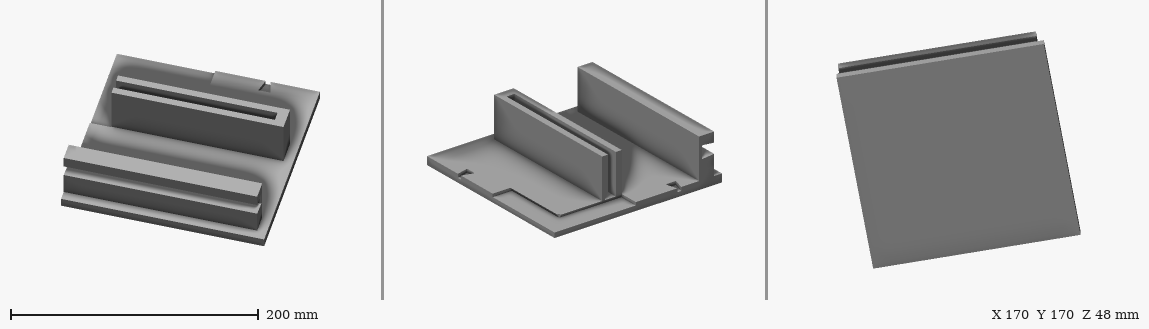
import cadquery as cq

SIDE = 170.0
BASE_THICKNESS = 8.0
TOTAL_HEIGHT = 48.0

RECESS_WIDTH = 18.0
RECESS_LENGTH = 82.5
RECESS_DEPTH = 3.0
RECESS_UNDERCUT = 1.5
RELIEF_DIAMETER = 5.0

BAR_END_GAP = 8.0
BAR_END = SIDE - BAR_END_GAP

HOLDER_FRONT = 88.0
HOLDER_WIDTH = 19.9
HOLDER_FRONT_WALL = 6.0
SLOT_WIDTH = 8.0
SLOT_END = 153.2
FLARE_WIDTH = 3.5
FLARE_HEIGHT = 6.3

RAIL_FRONT = 8.0
RAIL_WIDTH = 15.3
GROOVE_DEPTH = 12.4
GROOVE_CENTER_Z = 33.0
GROOVE_MOUTH = 10.0
GROOVE_BACK = 12.0
GROOVE_FLAT = 2.0

NOTCH_OFFSET = 43.4
NOTCH_LENGTH = 11.5
NOTCH_DEPTH = 3.5
NOTCH_OUTER_WIDTH = 4.0
NOTCH_INNER_WIDTH = 10.2


def block(x_range, y_range, z_range):
    """Box between the given (low, high) limits on each axis."""
    sizes = [high - low for low, high in (x_range, y_range, z_range)]
    corner = (x_range[0], y_range[0], z_range[0])
    return cq.Workplane("XY").box(*sizes, centered=False).translate(corner)


def bar_along_x(outline, x_start, x_end):
    """Extrude a closed (y, z) outline between two X positions."""
    profile = cq.Workplane("YZ").workplane(offset=x_start).polyline(outline).close()
    return profile.extrude(x_end - x_start)


def corner_recess():
    """Cutter for the stepped corner at -X, +Y; its walls lean under the plate top."""
    floor_z = BASE_THICKNESS - RECESS_DEPTH
    wall_x = RECESS_WIDTH
    wall_y = SIDE - RECESS_WIDTH

    left_arm = (
        cq.Workplane("XZ", origin=(0, SIDE, 0))
        .polyline([
            (0, floor_z),
            (wall_x + RECESS_UNDERCUT, floor_z),
            (wall_x, BASE_THICKNESS),
            (0, BASE_THICKNESS),
        ])
        .close()
        .extrude(RECESS_LENGTH)
    )
    back_arm = bar_along_x(
        [
            (SIDE, floor_z),
            (wall_y - RECESS_UNDERCUT, floor_z),
            (wall_y, BASE_THICKNESS),
            (SIDE, BASE_THICKNESS),
        ],
        0,
        RECESS_LENGTH,
    )
    relief = (
        cq.Workplane("XY", origin=(wall_x, wall_y, floor_z))
        .circle(RELIEF_DIAMETER / 2)
        .extrude(RECESS_DEPTH)
    )
    return left_arm.union(back_arm).union(relief)


def holder():
    """Upright with a slot open at the top and at -X, flared at the foot of its +Y wall."""
    back = HOLDER_FRONT + HOLDER_WIDTH
    slot_front = HOLDER_FRONT + HOLDER_FRONT_WALL
    slot_back = slot_front + SLOT_WIDTH
    body = block((RECESS_WIDTH, BAR_END), (HOLDER_FRONT, back), (BASE_THICKNESS, TOTAL_HEIGHT))
    slot = bar_along_x(
        [
            (slot_front, BASE_THICKNESS),
            (slot_back + FLARE_WIDTH, BASE_THICKNESS),
            (slot_back, BASE_THICKNESS + FLARE_HEIGHT),
            (slot_back, TOTAL_HEIGHT),
            (slot_front, TOTAL_HEIGHT),
        ],
        RECESS_WIDTH,
        SLOT_END,
    )
    return body.cut(slot)


def rail():
    """Upright with a groove in its -Y face that widens inward, then runs flat to its back wall."""
    groove_back = RAIL_FRONT + GROOVE_DEPTH
    flat_start = groove_back - GROOVE_FLAT
    body = block((0, BAR_END), (RAIL_FRONT, RAIL_FRONT + RAIL_WIDTH), (BASE_THICKNESS, TOTAL_HEIGHT))
    lower_edge = [
        (RAIL_FRONT, GROOVE_CENTER_Z - GROOVE_MOUTH / 2),
        (flat_start, GROOVE_CENTER_Z - GROOVE_BACK / 2),
        (groove_back, GROOVE_CENTER_Z - GROOVE_BACK / 2),
    ]
    upper_edge = [(y, 2 * GROOVE_CENTER_Z - z) for y, z in reversed(lower_edge)]
    groove = bar_along_x(lower_edge + upper_edge, 0, BAR_END)
    return body.cut(groove)


def edge_notch():
    """Cutter at the origin, opening toward -X and widening inward."""
    return (
        cq.Workplane("XY", origin=(0, 0, BASE_THICKNESS - NOTCH_DEPTH))
        .polyline([
            (0, -NOTCH_OUTER_WIDTH / 2),
            (NOTCH_LENGTH, -NOTCH_INNER_WIDTH / 2),
            (NOTCH_LENGTH, NOTCH_INNER_WIDTH / 2),
            (0, NOTCH_OUTER_WIDTH / 2),
        ])
        .close()
        .extrude(NOTCH_DEPTH)
    )


left_notch = edge_notch().translate((0, NOTCH_OFFSET, 0))
back_notch = edge_notch().rotate((0, 0, 0), (0, 0, 1), -90).translate((SIDE - NOTCH_OFFSET, SIDE, 0))

base = block((0, SIDE), (0, SIDE), (0, BASE_THICKNESS))
base = base.cut(corner_recess()).cut(left_notch).cut(back_notch)

result = base.union(holder()).union(rail())